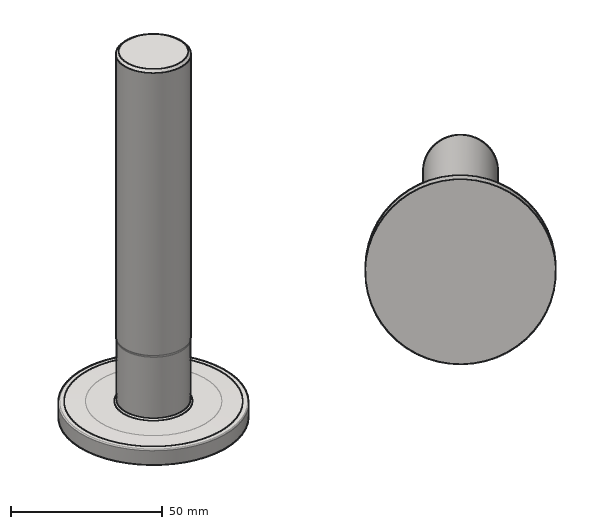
import cadquery as cq

total_height = 140.0

pad_diameter = 63.0
pad_height = 6.0
pad_wall = 2.0
pad_rounding = 0.4

plate_diameter = pad_diameter - 2 * pad_wall
plate_flat_diameter = 45.1
plate_rise = 0.1
plate_top = pad_height + plate_rise

rod_diameter = 24.9
shank_diameter = 24.5
foot_diameter = 25.9
foot_height = 0.5
shank_top = 30.1
taper_height = 0.8
end_chamfer = 1.0


def make_pad():
    """Round cup with a rounded top edge and an open top."""
    body = cq.Workplane("XY").circle(pad_diameter / 2).extrude(pad_height)
    body = body.faces(">Z").edges().fillet(pad_rounding)
    recess = (
        cq.Workplane("XY")
        .workplane(offset=pad_wall)
        .circle(plate_diameter / 2)
        .extrude(pad_height - pad_wall)
    )
    return body.cut(recess)


def make_plate():
    """Disc filling the pad recess, with a shallow cone around its flat centre."""
    return (
        cq.Workplane("XZ")
        .moveTo(0, pad_wall)
        .lineTo(plate_diameter / 2, pad_wall)
        .lineTo(plate_diameter / 2, pad_height)
        .lineTo(plate_flat_diameter / 2, plate_top)
        .lineTo(0, plate_top)
        .close()
        .revolve(360, (0, 0, 0), (0, 1, 0))
    )


def make_stud():
    """Stud with a flared foot, a plain shank and a slightly thicker rod."""
    return (
        cq.Workplane("XZ")
        .moveTo(0, plate_top)
        .lineTo(foot_diameter / 2, plate_top)
        .lineTo(shank_diameter / 2, plate_top + foot_height)
        .lineTo(shank_diameter / 2, shank_top)
        .lineTo(rod_diameter / 2, shank_top + taper_height)
        .lineTo(rod_diameter / 2, total_height - end_chamfer)
        .lineTo(rod_diameter / 2 - end_chamfer, total_height)
        .lineTo(0, total_height)
        .close()
        .revolve(360, (0, 0, 0), (0, 1, 0))
    )


pad = make_pad()
plate = make_plate()
stud = make_stud()

result = cq.Compound.makeCompound([pad.val(), plate.val(), stud.val()])